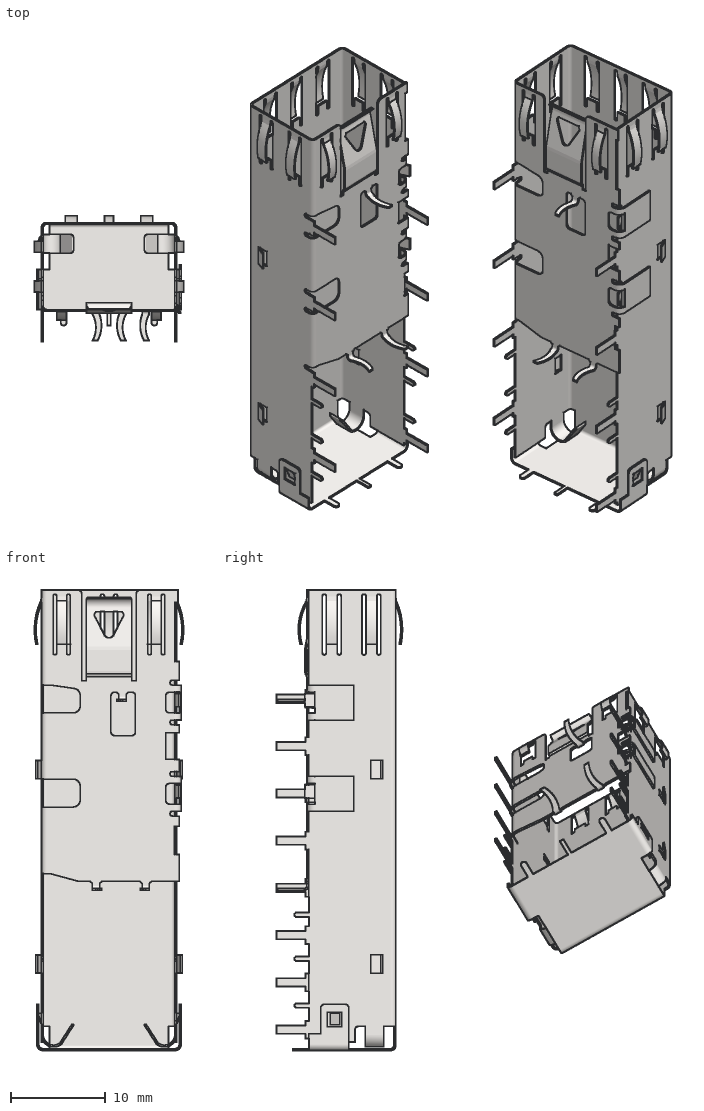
import cadquery as cq
import math


SHEET = 0.2
HEIGHT = 48.7
OVERALL_WIDTH = 15.81
BODY_WIDTH = 14.3
SIDE_X = BODY_WIDTH / 2
BACK_Y = 5.95
FRONT_Y = -3.45
PIN_TIP_Y = -6.675
BACK_SPRING_Y = 6.675
BACK_BEND = 0.55
FRONT_BEND = 0.55
WALL_EDGE_Y = FRONT_Y + SHEET
ROUND_END = 0.49
CUT = 1.0

SLOT_TOP = 48.25
SLOT_BOTTOM = 41.85
SPRING_ROOT_Z = 48.0
SPRING_TIP_Z = 42.95
SPRING_PEAK_Z = 44.5
SPRING_BEND_Z = 47.55
SPRING_BEND_RISE = 0.06
SLOT_WIDTH = 0.38
SIDE_SPRINGS_Y = (3.38, -0.82)
SIDE_SPRING_WIDTH = 1.2
BACK_SPRINGS = ((-4.0, 1.3), (0.0, 1.0), (4.0, 1.3))
FRONT_SPRING_X = 5.0
FRONT_SPRING_WIDTH = 1.05
FRONT_SPRING_BULGE = 0.92

PANEL_BOTTOM = 17.9
PANEL_LEFT_BOTTOM = 18.7
PANEL_SLOPE_X = (-6.2, -3.25)
PANEL_EDGE_X = 7.45
PANEL_TOP_EDGE_X = 7.3
PANEL_SPRING_RELIEF_X = 7.0
PANEL_SPRING_RELIEF_Z = (41.15, 47.4)
PIN_NOTCHES = ((30.8, 33.6, 5.98), (20.75, 23.7, 6.9))
OPENING_X = -3.05
OPENING_HEIGHT = 2.95
OPENING_RADIUS = 0.75
OPENINGS = ((35.7, 0.45), (25.75, 0.0))
WINDOW_X = (0.2, 2.8)
WINDOW_Z = (33.3, 37.9)
WINDOW_RADIUS = 0.4

LOOP_X = 7.65
LOOP_BEND = 0.8
LOOP_TOP_Y = 1.5
LOOP_HEIGHT = 3.7
LOOP_BOTTOMS = (34.95, 25.3)
LOOP_WINDOW_HEIGHT = 2.2
LOOP_WINDOW_X = 5.98
LOOP_WALL_EDGE_Y = -2.6
HOOK_TIP = (7.6, -3.65)
HOOK_RISE = 1.4
HOOK_HEIGHT = 1.4
LOOP_WINDOW_RADIUS = 0.45
RELIEF_HEIGHT = 0.5
LOOP_RELIEF_X = 6.45

LATCH_HALF_WIDTH = 2.4
LATCH_SLOT_X = 2.88
LATCH_SLOT_BOTTOM = 39.1
LATCH_SLOT_FLARE = 0.45
LATCH_CORNER = 0.35
LATCH_PROUD = 0.22
LATCH_STEP_Z = (39.5, 39.85, 40.15, 42.35, 42.75)
LATCH_STEP_LEAN = 0.04
LATCH_LIP_Z = 46.85
LATCH_LIP_Y = -2.75
LATCH_LIP_RADIUS = 0.8
LATCH_LIP_END_ANGLE = 70
LATCH_LEAN_Y = LATCH_LIP_Y - (FRONT_Y - LATCH_PROUD + LATCH_STEP_LEAN)
LATCH_LIP_START_ANGLE = -math.degrees(math.atan2(LATCH_LEAN_Y, LATCH_LIP_Z - LATCH_STEP_Z[-1]))
LATCH_LIP_MID_ANGLE = (LATCH_LIP_START_ANGLE + LATCH_LIP_END_ANGLE) / 2
LATCH_WINDOW = ((1.4, 46.4), (1.58, 46.05), (0.5, 44.0))
LATCH_WINDOW_TIP_Z = 43.65

PIN_PITCH = 10.0
PINS_PER_SIDE = 4
TOP_LEFT_PIN_Z = 37.2
TOP_RIGHT_PIN_Z = TOP_LEFT_PIN_Z - PIN_PITCH / 2
LEFT_PINS_Z = [TOP_LEFT_PIN_Z - PIN_PITCH * i for i in range(PINS_PER_SIDE)]
RIGHT_PINS_Z = [TOP_RIGHT_PIN_Z - PIN_PITCH * i for i in range(PINS_PER_SIDE)]
PIN_WIDTH = 0.9
PIN_BASE_HEIGHT = 1.9
PIN_BASE_Y = -3.6
SHORT_PINS_Z = (14.35, 9.7, 4.75)
SHORT_PIN_WIDTH = 0.5
SHORT_PIN_TIP_Y = -4.8
SHORT_PIN_CHAMFER = 0.2
RELIEF_END_Y = -2.25

FINGER_TIP_Y = -6.55
FINGER_BULGE_Y = -4.95
FINGER_DROP = 0.95
FINGER_BEND = 0.3
FINGER_FLARE = 0.25
FINGER_ROOT_X = (0.25, 1.0)
FINGER_BULGE_X = (0.03, 0.65)
FINGER_TIP_X = (0.45, 1.0)
RIGHT_FINGER_X = 3.25
LEFT_FINGER_X = -0.75
WINDOW_FINGER_X = 0.8

FLOOR_X = 6.3
CORNER_RELIEF_Z = 2.55
WALL_BOTTOM_Z = 0.9
KICK_Y = (2.7, 4.7)
KICK_GAP_Y = 1.65
KICK_GAP_RADIUS = 0.35
KICK_BEND_Z = 1.65
KICK_LOW = (-6.1, 0.4)
KICK_RAMP = (-5.1, 0.75)
KICK_TIP = (-3.85, 2.7)
KICK_TIP_RADIUS = 0.35
FLAP_X = 7.63
FLAP_BACK_Y = 1.0
FLAP_FRONT_Y = -2.0
FLAP_TOP_Z = 4.9
FLAP_STEP_Z = 1.75
FLAP_RADIUS = 0.45
FLAP_BEND = 0.65
FLAP_WINDOW_Y = (-1.3, 0.25)
FLAP_WINDOW_Z = (2.5, 4.05)
CATCH_Y = (-1.0, 0.0)
CATCH_Z = (2.75, 3.95)
CATCH_RISE = 0.4
FLOOR_BEND = 0.55
SIDE_FLOOR_PIN_X = 4.8
SIDE_FLOOR_PIN_WIDTH = 0.65
MIDDLE_FLOOR_PIN_WIDTH = 0.42
FLOOR_PIN_TIP_Y = -4.95

LANCE_Y = (3.3, 4.55)
LANCE_HEIGHT = 1.95
LANCES_Z = (29.7, 9.15)
LANCE_TIP_X = 7.75


def box(x0, x1, y0, y1, z0, z1):
    size = (x1 - x0, y1 - y0, z1 - z0)
    return cq.Workplane("XY").box(*size, centered=False).translate((x0, y0, z0))


def left_sheet(y0, y1, z0, z1):
    """Rectangle of sheet in the plane of the left wall."""
    return box(-SIDE_X, -SIDE_X + SHEET, y0, y1, z0, z1)


def along_x(sketch, x0, x1):
    """Extrude a closed YZ outline between two X planes."""
    return sketch.extrude(x1 - x0).translate((x0, 0, 0))


def along_y(sketch, y0, y1):
    """Extrude a closed XZ outline between two Y planes."""
    return sketch.extrude(y0 - y1).translate((0, y0, 0))


def xz_outline(points):
    return cq.Workplane("XZ").polyline(points).close()


def mirrored(solid):
    return solid.mirror("YZ")


def joined(solids):
    total = solids[0]
    for solid in solids[1:]:
        total = total.union(solid)
    return total


def make_walls():
    outer = box(-SIDE_X, SIDE_X, WALL_EDGE_Y, BACK_Y, 0, HEIGHT).edges("|Z and >Y").fillet(BACK_BEND)
    inner = (
        box(-SIDE_X + SHEET, SIDE_X - SHEET, WALL_EDGE_Y, BACK_Y - SHEET, 0, HEIGHT)
        .edges("|Z and >Y")
        .fillet(BACK_BEND - SHEET)
    )
    walls = outer.cut(inner)
    fold_y = FRONT_Y + FRONT_BEND
    return walls.cut(left_sheet(WALL_EDGE_Y, fold_y, PANEL_LEFT_BOTTOM, HEIGHT))


def make_panel():
    outer = box(-SIDE_X, PANEL_EDGE_X, FRONT_Y, FRONT_Y + 2 * FRONT_BEND, PANEL_BOTTOM, HEIGHT)
    outer = outer.edges("|Z and <X and <Y").fillet(FRONT_BEND)
    inner = box(-SIDE_X + SHEET, PANEL_EDGE_X, WALL_EDGE_Y, BACK_Y, PANEL_BOTTOM, HEIGHT)
    inner = inner.edges("|Z and <X and <Y").fillet(FRONT_BEND - SHEET)
    panel = outer.cut(inner)
    tapered_end = xz_outline(
        [
            (-SIDE_X, PANEL_BOTTOM),
            (PANEL_SLOPE_X[1], PANEL_BOTTOM),
            (PANEL_SLOPE_X[0], PANEL_LEFT_BOTTOM),
            (-SIDE_X, PANEL_LEFT_BOTTOM),
        ]
    )
    panel = panel.cut(along_y(tapered_end, FRONT_Y, BACK_Y))
    relief_bottom, relief_top = PANEL_SPRING_RELIEF_Z
    panel = panel.cut(box(PANEL_SPRING_RELIEF_X, PANEL_EDGE_X, FRONT_Y, BACK_Y, relief_bottom, relief_top))
    panel = panel.cut(box(PANEL_TOP_EDGE_X, PANEL_EDGE_X, FRONT_Y, BACK_Y, relief_top, HEIGHT))
    for z0, z1, x0 in PIN_NOTCHES:
        panel = panel.cut(box(x0, PANEL_EDGE_X, FRONT_Y, BACK_Y, z0, z1))
    for bottom, slope in OPENINGS:
        panel = panel.cut(side_opening(bottom, slope))
    window = box(*WINDOW_X, FRONT_Y, WALL_EDGE_Y, *WINDOW_Z).edges("|Y").fillet(WINDOW_RADIUS)
    return panel.cut(window)


def side_opening(bottom, slope):
    """Opening that frees a left-wall pin from the fold; its top may fall away to the right."""
    top = bottom + OPENING_HEIGHT
    outline = xz_outline(
        [
            (-SIDE_X, bottom),
            (OPENING_X, bottom),
            (OPENING_X, top - slope),
            (PANEL_SLOPE_X[0], top),
            (-SIDE_X, top),
        ]
    )
    solid = along_y(outline, FRONT_Y, FRONT_Y + FRONT_BEND)
    return solid.edges("|Y and >X").fillet(OPENING_RADIUS)


def make_loop(bottom):
    top = bottom + LOOP_HEIGHT
    start_x = LOOP_X - 2 * LOOP_BEND
    outer = box(start_x, LOOP_X, FRONT_Y, LOOP_TOP_Y, bottom, top)
    inner = box(start_x, LOOP_X - SHEET, WALL_EDGE_Y, LOOP_TOP_Y, bottom, top)
    fold = "|Z and >X and <Y"
    return outer.edges(fold).fillet(LOOP_BEND).cut(inner.edges(fold).fillet(LOOP_BEND - SHEET))


def add_loops(panel):
    for bottom in LOOP_BOTTOMS:
        top = bottom + LOOP_HEIGHT
        panel = panel.cut(box(LOOP_X - LOOP_BEND, LOOP_X, FRONT_Y, BACK_Y, bottom, top))
        panel = panel.union(make_loop(bottom))
        margin = (LOOP_HEIGHT - LOOP_WINDOW_HEIGHT) / 2
        window = box(LOOP_WINDOW_X, LOOP_X, FRONT_Y, LOOP_WALL_EDGE_Y, bottom + margin, top - margin)
        panel = panel.cut(window.edges("|Y and <X").fillet(LOOP_WINDOW_RADIUS))
        for z0 in (bottom - RELIEF_HEIGHT, top):
            relief = box(LOOP_RELIEF_X, LOOP_X, FRONT_Y, WALL_EDGE_Y, z0, z0 + RELIEF_HEIGHT)
            panel = panel.cut(relief.edges("|Y and <X").fillet(ROUND_END * RELIEF_HEIGHT))
    return panel


def make_hook(bottom):
    """Tongue of the right wall that slants out through a loop's window."""
    tip_x, tip_y = HOOK_TIP
    outline = [
        (SIDE_X - SHEET, LOOP_WALL_EDGE_Y),
        (tip_x - SHEET, tip_y),
        (tip_x, tip_y),
        (SIDE_X, LOOP_WALL_EDGE_Y),
    ]
    hook = cq.Workplane("XY").polyline(outline).close().extrude(HOOK_HEIGHT)
    return hook.translate((0, 0, bottom + HOOK_RISE))


def lip_point(radius, angle):
    """Point (Y, Z) on the lip arc, whose start is tangent to the leaning latch plate."""
    start = math.radians(LATCH_LIP_START_ANGLE)
    turn = math.radians(angle)
    centre_y = LATCH_LIP_Y - LATCH_LIP_RADIUS * math.cos(start)
    centre_z = LATCH_LIP_Z - LATCH_LIP_RADIUS * math.sin(start)
    return (centre_y + radius * math.cos(turn), centre_z + radius * math.sin(turn))


def make_latch():
    proud_y = FRONT_Y - LATCH_PROUD
    face = [
        (FRONT_Y, LATCH_SLOT_BOTTOM),
        (FRONT_Y, LATCH_STEP_Z[0]),
        (proud_y + LATCH_STEP_LEAN, LATCH_STEP_Z[1]),
        (proud_y, LATCH_STEP_Z[2]),
        (proud_y, LATCH_STEP_Z[3]),
        (proud_y + LATCH_STEP_LEAN, LATCH_STEP_Z[4]),
    ]
    rear = [(y + SHEET, z) for y, z in reversed(face)]
    near = LATCH_LIP_RADIUS
    far = LATCH_LIP_RADIUS + SHEET
    profile = (
        cq.Workplane("YZ")
        .polyline(face + [lip_point(near, LATCH_LIP_START_ANGLE)])
        .threePointArc(lip_point(near, LATCH_LIP_MID_ANGLE), lip_point(near, LATCH_LIP_END_ANGLE))
        .lineTo(*lip_point(far, LATCH_LIP_END_ANGLE))
        .threePointArc(lip_point(far, LATCH_LIP_MID_ANGLE), lip_point(far, LATCH_LIP_START_ANGLE))
    )
    for point in rear:
        profile = profile.lineTo(*point)
    latch = along_x(profile.close(), -LATCH_HALF_WIDTH, LATCH_HALF_WIDTH)
    lip_top = lip_point(far, LATCH_LIP_END_ANGLE)[1]
    blank = box(-LATCH_HALF_WIDTH, LATCH_HALF_WIDTH, FRONT_Y - CUT, 0, LATCH_SLOT_BOTTOM, lip_top)
    latch = latch.intersect(blank.edges("|Y and >Z").fillet(LATCH_CORNER))
    upper, side, lower = LATCH_WINDOW
    window = (
        cq.Workplane("XZ")
        .moveTo(-lower[0], lower[1])
        .lineTo(-side[0], side[1])
        .lineTo(-upper[0], upper[1])
        .lineTo(*upper)
        .lineTo(*side)
        .lineTo(*lower)
        .threePointArc((0, LATCH_WINDOW_TIP_Z), (-lower[0], lower[1]))
        .close()
    )
    return latch.cut(along_y(window, FRONT_Y - CUT, 0))


def add_latch(panel):
    gap = box(-LATCH_SLOT_X, LATCH_SLOT_X, FRONT_Y, WALL_EDGE_Y, LATCH_SLOT_BOTTOM, HEIGHT)
    panel = panel.cut(gap)
    middle_y = (FRONT_Y + WALL_EDGE_Y) / 2
    for x in (-LATCH_SLOT_X, LATCH_SLOT_X):
        corner = cq.selectors.NearestToPointSelector((x, middle_y, HEIGHT))
        panel = panel.edges("|Y").edges(corner).fillet(LATCH_SLOT_FLARE)
    return panel.union(make_latch())


def spring_arc(bulge):
    """Peak and tip points of the spring's outer arc, as (outward distance, Z)."""
    length = SPRING_BEND_Z - SPRING_PEAK_Z
    height = bulge - SPRING_BEND_RISE
    radius = (length**2 + height**2) / (2 * height)
    drop = radius - math.sqrt(radius**2 - (SPRING_PEAK_Z - SPRING_TIP_Z) ** 2)
    return (bulge, SPRING_PEAK_Z), (bulge - drop, SPRING_TIP_Z)


def make_spring(width, bulge):
    """Spring whose wall face lies on Y = 0, bulging toward +Y and centred on X = 0."""
    peak, tip = spring_arc(bulge)
    profile = (
        cq.Workplane("YZ")
        .moveTo(0, SPRING_ROOT_Z)
        .lineTo(SPRING_BEND_RISE, SPRING_BEND_Z)
        .threePointArc(peak, tip)
        .lineTo(tip[0] - SHEET, tip[1])
        .threePointArc((peak[0] - SHEET, peak[1]), (SPRING_BEND_RISE - SHEET, SPRING_BEND_Z))
        .lineTo(-SHEET, SPRING_ROOT_Z)
        .close()
    )
    return along_x(profile, -width / 2, width / 2)


def make_spring_opening(width):
    """Two side slots joined by the space the spring was bent out of."""
    half = width / 2
    middle = box(-half, half, -SHEET, 0, SPRING_TIP_Z, SPRING_ROOT_Z)
    slots = []
    for side in (-1, 1):
        centre = side * (half + SLOT_WIDTH / 2)
        slot = box(centre - SLOT_WIDTH / 2, centre + SLOT_WIDTH / 2, -SHEET, 0, SLOT_BOTTOM, SLOT_TOP)
        slots.append(slot.edges("|Y").fillet(ROUND_END * SLOT_WIDTH))
    return joined([middle] + slots)


def add_spring(shell, width, bulge, angle, place):
    def put(solid):
        return solid.rotate((0, 0, 0), (0, 0, 1), angle).translate(place)

    shell = shell.cut(put(make_spring_opening(width)))
    return shell.union(put(make_spring(width, bulge)))


def add_springs(shell):
    side_bulge = OVERALL_WIDTH / 2 - SIDE_X
    for y in SIDE_SPRINGS_Y:
        shell = add_spring(shell, SIDE_SPRING_WIDTH, side_bulge, 90, (-SIDE_X, y, 0))
        shell = add_spring(shell, SIDE_SPRING_WIDTH, side_bulge, -90, (SIDE_X, y, 0))
    for x, width in BACK_SPRINGS:
        shell = add_spring(shell, width, BACK_SPRING_Y - BACK_Y, 0, (x, BACK_Y, 0))
    for x in (-FRONT_SPRING_X, FRONT_SPRING_X):
        shell = add_spring(shell, FRONT_SPRING_WIDTH, FRONT_SPRING_BULGE, 180, (x, FRONT_Y, 0))
    return shell


def make_pin(z):
    """Solder pin with its wider base, in the plane of the left wall."""
    base = left_sheet(PIN_BASE_Y, RELIEF_END_Y, z - PIN_BASE_HEIGHT / 2, z + PIN_BASE_HEIGHT / 2)
    pin = left_sheet(PIN_TIP_Y, PIN_BASE_Y, z - PIN_WIDTH / 2, z + PIN_WIDTH / 2)
    return base.union(pin)


def make_short_pin(z):
    half = SHORT_PIN_WIDTH / 2
    pin = left_sheet(SHORT_PIN_TIP_Y, WALL_EDGE_Y, z - half, z + half)
    return pin.edges("|X and <Y").chamfer(SHORT_PIN_CHAMFER)


def make_fold_relief(z):
    """Round-ended notch through the left wall beside a pin, starting at height z."""
    notch = box(-SIDE_X, -SIDE_X + FRONT_BEND, FRONT_Y, RELIEF_END_Y, z, z + RELIEF_HEIGHT)
    return notch.edges("|X and >Y").fillet(ROUND_END * RELIEF_HEIGHT)


def add_pins(shell):
    for z in LEFT_PINS_Z:
        shell = shell.union(make_pin(z))
    for z in RIGHT_PINS_Z:
        shell = shell.union(mirrored(make_pin(z)))
    for z in SHORT_PINS_Z:
        shell = shell.union(make_short_pin(z))
        shell = shell.union(mirrored(make_short_pin(z)))
    relief_heights = [PANEL_LEFT_BOTTOM - RELIEF_HEIGHT]
    for bottom, _ in OPENINGS:
        relief_heights += [bottom, bottom + OPENING_HEIGHT - RELIEF_HEIGHT]
    for z in relief_heights:
        shell = shell.cut(make_fold_relief(z))
    return shell


def make_finger(panel_edge_z):
    """Finger bent out below a panel edge; its left side bulges toward X = 0."""
    left, right = FINGER_ROOT_X
    bottom = panel_edge_z - FINGER_DROP
    bend_end_y = FRONT_Y - FINGER_BEND
    blade = (
        cq.Workplane("XY")
        .moveTo(left, WALL_EDGE_Y)
        .lineTo(left, bend_end_y)
        .threePointArc((FINGER_BULGE_X[0], FINGER_BULGE_Y), (FINGER_TIP_X[0], FINGER_TIP_Y))
        .lineTo(FINGER_TIP_X[1], FINGER_TIP_Y)
        .threePointArc((FINGER_BULGE_X[1], FINGER_BULGE_Y), (right, bend_end_y))
        .lineTo(right, WALL_EDGE_Y)
        .close()
        .extrude(SHEET)
        .translate((0, 0, bottom))
    )
    finger = blade.union(box(left, right, FRONT_Y, WALL_EDGE_Y, bottom, panel_edge_z))
    middle_x = (left + right) / 2
    inner_corner = cq.selectors.NearestToPointSelector((middle_x, FRONT_Y, bottom + SHEET))
    outer_corner = cq.selectors.NearestToPointSelector((middle_x, WALL_EDGE_Y, bottom))
    finger = finger.edges(inner_corner).fillet(FINGER_BEND).edges(outer_corner).fillet(FINGER_BEND + SHEET)
    flare = xz_outline(
        [
            (left - FINGER_FLARE, panel_edge_z),
            (left, panel_edge_z - FINGER_FLARE),
            (right, panel_edge_z - FINGER_FLARE),
            (right + FINGER_FLARE, panel_edge_z),
        ]
    )
    return finger.union(along_y(flare, FRONT_Y, WALL_EDGE_Y))


def add_fingers(shell):
    lower = make_finger(PANEL_BOTTOM)
    shell = shell.union(lower.translate((RIGHT_FINGER_X, 0, 0)))
    shell = shell.union(mirrored(lower).translate((LEFT_FINGER_X, 0, 0)))
    return shell.union(make_finger(WINDOW_Z[1]).translate((WINDOW_FINGER_X, 0, 0)))


def trim_wall_bottoms(walls):
    """Clear the lower corners so the floor, its flaps and the kick springs can fold."""
    gap = box(-SIDE_X, SIDE_X, KICK_GAP_Y, BACK_Y, 0, CORNER_RELIEF_Z)
    gap = gap.edges("|X and <Y and >Z").fillet(KICK_GAP_RADIUS)
    return walls.cut(gap).cut(box(-SIDE_X, SIDE_X, WALL_EDGE_Y, KICK_GAP_Y, 0, WALL_BOTTOM_Z))


def trim_wall_at_loops(walls):
    """Set the right wall's edge back, and leave a hook, where the panel folds round it."""
    for bottom in LOOP_BOTTOMS:
        top = bottom + LOOP_HEIGHT
        walls = walls.cut(box(0, SIDE_X, WALL_EDGE_Y, LOOP_WALL_EDGE_Y, bottom, top)).union(make_hook(bottom))
    return walls


def make_floor():
    """Floor plate with its flaps, both bent up outside the side walls."""
    blank = box(-FLAP_X, FLAP_X, WALL_EDGE_Y, FLAP_BACK_Y, 0, FLAP_TOP_Z).edges("|Y and <Z").fillet(FLAP_BEND)
    hollow = box(-FLAP_X + SHEET, FLAP_X - SHEET, WALL_EDGE_Y, FLAP_BACK_Y, SHEET, FLAP_TOP_Z)
    tray = blank.cut(hollow.edges("|Y and <Z").fillet(FLAP_BEND - SHEET))
    tray = tray.cut(box(-FLAP_X, FLAP_X, WALL_EDGE_Y, FLAP_FRONT_Y, FLAP_STEP_Z, FLAP_TOP_Z))
    tray = tray.edges("|X and >Z").fillet(FLAP_RADIUS)
    tray = tray.cut(box(-FLAP_X, FLAP_X, *FLAP_WINDOW_Y, *FLAP_WINDOW_Z))
    outer = box(-FLOOR_X, FLOOR_X, FLAP_BACK_Y, BACK_Y, 0, CORNER_RELIEF_Z)
    inner = box(-FLOOR_X, FLOOR_X, FLAP_BACK_Y, BACK_Y - SHEET, SHEET, CORNER_RELIEF_Z)
    fold = "|X and >Y and <Z"
    plate = outer.edges(fold).fillet(FLOOR_BEND).cut(inner.edges(fold).fillet(FLOOR_BEND - SHEET))
    return tray.union(plate)


def make_catch():
    """Wedge on the left wall that snaps into the flap window, thickest at its top."""
    z0, z1 = CATCH_Z
    wedge = xz_outline([(-SIDE_X, z0), (-SIDE_X, z1), (-SIDE_X - CATCH_RISE, z1)])
    return along_y(wedge, *CATCH_Y)


def make_floor_pins():
    """Square-ended middle pin and two round-ended side pins in the plane of the floor."""

    def blank(x, width):
        return box(x - width / 2, x + width / 2, FLOOR_PIN_TIP_Y, WALL_EDGE_Y, 0, SHEET)

    side_pin = blank(SIDE_FLOOR_PIN_X, SIDE_FLOOR_PIN_WIDTH)
    side_pin = side_pin.edges("|Z and <Y").fillet(ROUND_END * SIDE_FLOOR_PIN_WIDTH)
    return joined([blank(0, MIDDLE_FLOOR_PIN_WIDTH), side_pin, mirrored(side_pin)])


def make_kick_spring():
    """Left-wall leg that curls inward over the floor and rises toward the middle."""
    path = (
        cq.Workplane("XZ")
        .moveTo(-SIDE_X + SHEET / 2, CORNER_RELIEF_Z)
        .lineTo(-SIDE_X + SHEET / 2, KICK_BEND_Z)
        .threePointArc((KICK_LOW[0], KICK_LOW[1] + SHEET / 2), KICK_RAMP)
        .lineTo(*KICK_TIP)
    )
    strip = path.offset2D(SHEET / 2)
    spring = along_y(strip, *KICK_Y)
    blank = box(-SIDE_X, KICK_TIP[0] + SHEET / 2, *KICK_Y, 0, CORNER_RELIEF_Z + CUT)
    return spring.intersect(blank.edges("|Z and >X").fillet(KICK_TIP_RADIUS))


def make_lance(z):
    """Tongue lanced from the left wall and opening toward -Y."""
    rise_x = -SIDE_X - SHEET
    face = [(-SIDE_X, LANCE_Y[1]), (rise_x, LANCE_Y[1] - SHEET), (-LANCE_TIP_X, LANCE_Y[0])]
    rear = [(x + SHEET, y) for x, y in reversed(face)]
    tongue = cq.Workplane("XY").polyline(face + rear).close().extrude(LANCE_HEIGHT)
    return tongue.translate((0, 0, z - LANCE_HEIGHT / 2))


def add_lances(shell):
    for z in LANCES_Z:
        half = LANCE_HEIGHT / 2
        slot = left_sheet(LANCE_Y[0], LANCE_Y[1] - SHEET, z - half, z + half)
        shell = shell.cut(slot).cut(mirrored(slot))
        shell = shell.union(make_lance(z)).union(mirrored(make_lance(z)))
    return shell


walls = trim_wall_at_loops(trim_wall_bottoms(make_walls()))
panel = add_latch(add_loops(make_panel()))
shell = add_springs(walls.union(panel))
shell = add_pins(shell)
shell = add_fingers(shell)
shell = add_lances(shell)
shell = shell.union(make_floor()).union(make_floor_pins())
for part in (make_kick_spring(), make_catch()):
    shell = shell.union(part).union(mirrored(part))
result = cq.Workplane(shell.solids().val())